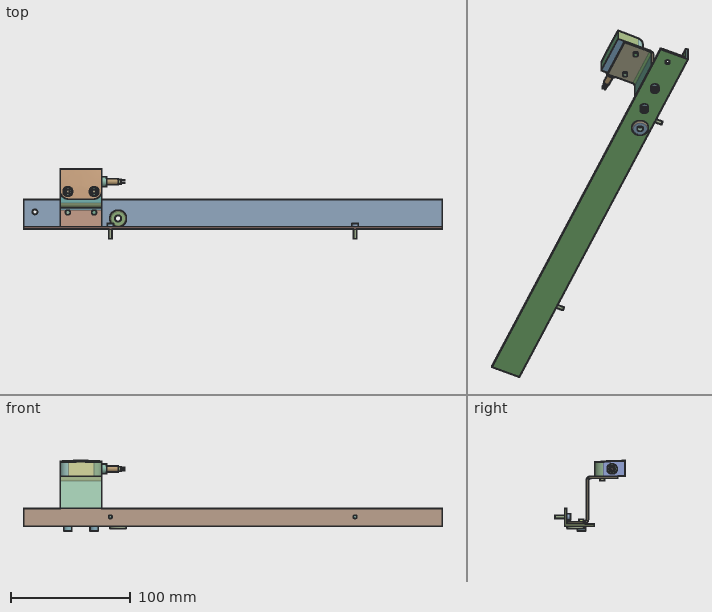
import cadquery as cq

rail_length = 350.0
rail_depth = 25.0
rail_height = 15.0
sheet = 2.0
rail_hole_diameter = 4.0
rail_hole_x = 9.5
rail_hole_y = 14.5

bracket_width = 35.0
bracket_left = 30.5
bracket_center_x = bracket_left + bracket_width / 2
bracket_height = 40.0
bracket_web_y = 18.0
bracket_upper_end_y = 44.5
bend_inner = 2.0
bracket_bottom = sheet
bracket_top = bracket_bottom + bracket_height

sensor_width = 35.0
sensor_depth = 25.3
sensor_back_y = 50.5
sensor_front_y = sensor_back_y - sensor_depth
sensor_corner_radius = 7.0
sensor_peak_height = 13.1
sensor_top_radius = 250.0
counterbore_diameter = 8.0
counterbore_floor = 8.0

cable_y = 39.7
cable_height = 6.0
cable_z = bracket_top + cable_height
gland_diameter = 8.5
gland_length = 4.0
cable_diameter = 5.2
cable_length = 9.5
core_diameter = 4.0
core_length = 2.5
wire_diameter = 0.8
wire_length = 3.0
wire_offset = 1.1

screw_pitch = 22.0
screw_xs = [bracket_center_x - screw_pitch / 2, bracket_center_x + screw_pitch / 2]
m4_diameter = 4.0
m4_head_diameter = 7.0
m4_head_height = 4.0
m4_socket_size = 3.0
sensor_screw_length = 12.0
sensor_screw_y = 31.5
bracket_screw_length = 6.0
bracket_screw_y = 14.0
m3_diameter = 3.0
m3_head_diameter = 5.5
m3_head_height = 3.0
m3_socket_size = 2.5
wall_screw_length = 10.0
wall_screw_xs = [72.5, 277.0]
wall_screw_z = 8.0
head_chamfer = 0.4
socket_depth_ratio = 0.5

grommet_x = 79.0
grommet_y = 9.0
grommet_flange_diameter = 14.0
grommet_flange_height = 2.0
grommet_neck_diameter = 9.0
grommet_bore = 5.0
grommet_edge_radius = 1.0

HEX_CORNER_RATIO = 2 / 3**0.5


def vertical_cylinder(x, y, z, diameter, height):
    return cq.Workplane("XY", origin=(x, y, z)).circle(diameter / 2).extrude(height)


def along_x_cylinder(x, y, z, diameter, length):
    return cq.Workplane("YZ", origin=(x, y, z)).circle(diameter / 2).extrude(length)


def make_rail():
    rail = (
        cq.Workplane("YZ")
        .moveTo(0, 0)
        .lineTo(rail_depth, 0)
        .lineTo(rail_depth, sheet)
        .lineTo(sheet, sheet)
        .lineTo(sheet, rail_height)
        .lineTo(0, rail_height)
        .close()
        .extrude(rail_length)
    )
    rail = rail.cut(vertical_cylinder(rail_hole_x, rail_hole_y, 0, rail_hole_diameter, sheet))
    rail = rail.cut(vertical_cylinder(grommet_x, grommet_y, 0, grommet_neck_diameter, sheet))
    for x in screw_xs:
        rail = rail.cut(vertical_cylinder(x, bracket_screw_y, 0, m4_diameter, sheet))
    for x in wall_screw_xs:
        hole = cq.Workplane("XZ", origin=(x, sheet, wall_screw_z)).circle(m3_diameter / 2)
        rail = rail.cut(hole.extrude(sheet))
    return rail


def make_bracket():
    web_back_y = bracket_web_y + sheet
    bend_outer = bend_inner + sheet
    corner_reach = sheet / 4
    bracket = (
        cq.Workplane("YZ", origin=(bracket_left, 0, 0))
        .moveTo(sheet, bracket_bottom)
        .lineTo(web_back_y, bracket_bottom)
        .lineTo(web_back_y, bracket_top - sheet)
        .lineTo(bracket_upper_end_y, bracket_top - sheet)
        .lineTo(bracket_upper_end_y, bracket_top)
        .lineTo(bracket_web_y, bracket_top)
        .lineTo(bracket_web_y, bracket_bottom + sheet)
        .lineTo(sheet, bracket_bottom + sheet)
        .close()
        .extrude(bracket_width)
    )
    bracket_right = bracket_left + bracket_width
    for y, z, radius in [
        (web_back_y, bracket_bottom, bend_outer),
        (bracket_web_y, bracket_bottom + sheet, bend_inner),
        (web_back_y, bracket_top - sheet, bend_inner),
        (bracket_web_y, bracket_top, bend_outer),
    ]:
        corner = cq.selectors.BoxSelector(
            (bracket_left, y - corner_reach, z - corner_reach),
            (bracket_right, y + corner_reach, z + corner_reach),
        )
        bracket = bracket.edges("|X").edges(corner).fillet(radius)
    for x in screw_xs:
        bracket = bracket.cut(
            vertical_cylinder(x, bracket_screw_y, bracket_bottom, m4_diameter, bend_inner + sheet)
        )
        bracket = bracket.cut(
            vertical_cylinder(x, sensor_screw_y, bracket_top - sheet, m4_diameter, sheet)
        )
    return bracket


def make_sensor():
    left = bracket_center_x - sensor_width / 2
    right = left + sensor_width
    body = (
        cq.Workplane("XY", origin=(left, sensor_front_y, bracket_top))
        .rect(sensor_width, sensor_depth, centered=False)
        .extrude(sensor_peak_height)
        .edges("|Z and <Y")
        .fillet(sensor_corner_radius)
    )
    dome_center = (
        bracket_center_x,
        sensor_back_y,
        bracket_top + sensor_peak_height - sensor_top_radius,
    )
    body = body.intersect(cq.Workplane("XY", origin=dome_center).sphere(sensor_top_radius))
    for x in screw_xs:
        floor_z = bracket_top + counterbore_floor
        body = body.cut(
            vertical_cylinder(x, sensor_screw_y, floor_z, counterbore_diameter, sensor_peak_height)
        )
        body = body.cut(
            vertical_cylinder(x, sensor_screw_y, bracket_top, m4_diameter, counterbore_floor)
        )

    x = right
    for diameter, length in [
        (gland_diameter, gland_length),
        (cable_diameter, cable_length),
        (core_diameter, core_length),
    ]:
        body = body.union(along_x_cylinder(x, cable_y, cable_z, diameter, length))
        x += length
    for side in (-1, 1):
        for level in (-1, 1):
            body = body.union(
                along_x_cylinder(
                    x,
                    cable_y + side * wire_offset,
                    cable_z + level * wire_offset,
                    wire_diameter,
                    wire_length,
                )
            )
    return body


def make_cap_screw(diameter, length, head_diameter, head_height, socket_size):
    """Screw along Z with its head on top and the underside of the head at Z = 0."""
    head = cq.Workplane("XY").circle(head_diameter / 2).extrude(head_height)
    head = head.faces(">Z").edges().chamfer(head_chamfer)
    shank = cq.Workplane("XY").circle(diameter / 2).extrude(-length)
    socket = (
        cq.Workplane("XY", origin=(0, 0, head_height))
        .polygon(6, socket_size * HEX_CORNER_RATIO)
        .extrude(-head_height * socket_depth_ratio)
    )
    return head.union(shank).cut(socket)


def make_m4_screw(length):
    return make_cap_screw(m4_diameter, length, m4_head_diameter, m4_head_height, m4_socket_size)


def make_sensor_screw(x):
    screw = make_m4_screw(sensor_screw_length)
    return screw.translate((x, sensor_screw_y, bracket_top + counterbore_floor))


def make_bracket_screw(x):
    screw = make_m4_screw(bracket_screw_length).rotate((0, 0, 0), (1, 0, 0), 180)
    return screw.translate((x, bracket_screw_y, 0))


def make_wall_screw(x):
    screw = make_cap_screw(
        m3_diameter, wall_screw_length, m3_head_diameter, m3_head_height, m3_socket_size
    ).rotate((0, 0, 0), (1, 0, 0), -90)
    return screw.translate((x, sheet, wall_screw_z))


def make_grommet():
    x, y = grommet_x, grommet_y
    flange = (grommet_flange_diameter, grommet_flange_height)
    upper = vertical_cylinder(x, y, sheet, *flange)
    upper = upper.faces(">Z").edges().fillet(grommet_edge_radius)
    lower = vertical_cylinder(x, y, -grommet_flange_height, *flange)
    lower = lower.faces("<Z").edges().fillet(grommet_edge_radius)
    neck = vertical_cylinder(x, y, 0, grommet_neck_diameter, sheet)
    bore = vertical_cylinder(
        x, y, -grommet_flange_height, grommet_bore, sheet + 2 * grommet_flange_height
    )
    return lower.union(neck).union(upper).cut(bore)


rail = make_rail()
bracket = make_bracket()
sensor = make_sensor()
grommet = make_grommet()
sensor_screws = [make_sensor_screw(x).val() for x in screw_xs]
bracket_screws = [make_bracket_screw(x).val() for x in screw_xs]
wall_screws = [make_wall_screw(x).val() for x in wall_screw_xs]

result = cq.Compound.makeCompound(
    [
        rail.val(),
        bracket.val(),
        sensor.val(),
        grommet.val(),
        *sensor_screws,
        *bracket_screws,
        *wall_screws,
    ]
)